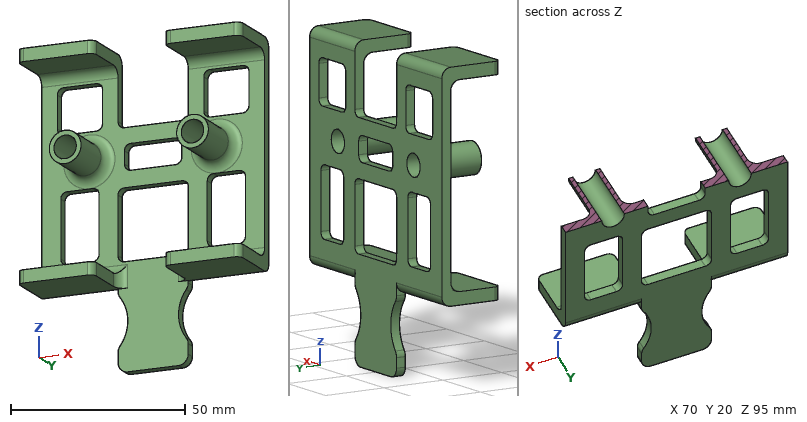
import cadquery as cq
import math

TOTAL_HEIGHT = 95.0
FRAME_SIZE = 70.0
DEPTH = 20.0
PLATE_THICKNESS = 3.0
FLANGE_THICKNESS = 4.0
BEND_RADIUS = 3.0
FLANGE_CORNER_RADIUS = 2.0
HALF_WIDTH = FRAME_SIZE / 2

CENTER_WIDTH = 22.0
NOTCH_DEPTH = 22.0
SLOT_WIDTH = 18.0
SLOT_HEIGHT = 8.0
SLOT_DOWN = 27.0
CENTER_WINDOW_HEIGHT = 22.0
CENTER_WINDOW_DOWN = 40.0
WINDOW_CORNER_RADIUS = 2.0

SIDE_WINDOW_X = 23.0
UPPER_WINDOW_SIZE = 14.2
LOWER_WINDOW_WIDTH = 12.0
LOWER_WINDOW_HEIGHT = 21.85
LOWER_WINDOW_DOWN = 39.0

POST_SPACING = 40.0
POST_DOWN = 31.0
POST_DIAMETER = 10.0
POST_HOLE_DIAMETER = 7.0
POST_ROOT_RADIUS = 3.0

TAB_LENGTH = TOTAL_HEIGHT - FRAME_SIZE
TAB_HALF_WIDTH = CENTER_WIDTH / 2
TAB_HALF_WAIST = 8.0
WAIST_DOWN = 9.8
WAIST_RADIUS = 12.0
TAB_CORNER_RADIUS = 3.0

CUT_MARGIN = 0.95


def box(x_min, x_max, y_min, y_max, z_min, z_max):
    """Axis-aligned block between the given limits."""
    size = (x_max - x_min, y_max - y_min, z_max - z_min)
    return cq.Workplane("XY").box(*size, centered=False).translate((x_min, y_min, z_min))


def window(center_x, down, width, height):
    """Cutter for a rounded window whose upper edge lies `down` below the frame top."""
    z_max = FRAME_SIZE - down
    cutter = box(
        center_x - width / 2, center_x + width / 2,
        -PLATE_THICKNESS - CUT_MARGIN, CUT_MARGIN,
        z_max - height, z_max,
    )
    return cutter.edges("|Y").fillet(WINDOW_CORNER_RADIUS)


def bracket():
    """Channel of full frame width: plate with a flange along its top and bottom."""
    outer = box(-HALF_WIDTH, HALF_WIDTH, -DEPTH, 0, 0, FRAME_SIZE)
    outer = outer.edges("|X and >Y").fillet(BEND_RADIUS)
    inner = box(
        -HALF_WIDTH, HALF_WIDTH,
        -DEPTH - BEND_RADIUS, -PLATE_THICKNESS,
        FLANGE_THICKNESS, FRAME_SIZE - FLANGE_THICKNESS,
    )
    inner = inner.edges("|X and >Y").fillet(BEND_RADIUS)
    return outer.cut(inner)


def flange_gap(flared):
    """Cutter that parts the flanges in the middle, optionally with rounded root corners."""
    gap = box(
        -CENTER_WIDTH / 2, CENTER_WIDTH / 2,
        -DEPTH - CUT_MARGIN, -PLATE_THICKNESS,
        0, FRAME_SIZE / 2,
    )
    if flared:
        return gap.edges("|Z and >Y").fillet(BEND_RADIUS)
    return gap.translate((0, 0, FRAME_SIZE / 2))


def tab():
    """Waisted finger tab, overlapping the frame up to the central window."""
    waist_center_x = TAB_HALF_WAIST + WAIST_RADIUS
    corner_center_x = TAB_HALF_WIDTH - TAB_CORNER_RADIUS
    radius_sum = WAIST_RADIUS + TAB_CORNER_RADIUS
    offset_x = waist_center_x - corner_center_x
    offset_z = math.sqrt(radius_sum**2 - offset_x**2)
    blend_x = corner_center_x + offset_x * TAB_CORNER_RADIUS / radius_sum
    blend_z = offset_z * WAIST_RADIUS / radius_sum
    top = FLANGE_THICKNESS + BEND_RADIUS

    half = (
        cq.Workplane("XZ")
        .moveTo(0, top)
        .lineTo(TAB_HALF_WIDTH, top)
        .lineTo(TAB_HALF_WIDTH, -WAIST_DOWN + offset_z)
        .radiusArc((blend_x, -WAIST_DOWN + blend_z), TAB_CORNER_RADIUS)
        .radiusArc((blend_x, -WAIST_DOWN - blend_z), -WAIST_RADIUS)
        .radiusArc((TAB_HALF_WIDTH, -WAIST_DOWN - offset_z), TAB_CORNER_RADIUS)
        .lineTo(TAB_HALF_WIDTH, -TAB_LENGTH + TAB_CORNER_RADIUS)
        .radiusArc((corner_center_x, -TAB_LENGTH), TAB_CORNER_RADIUS)
        .lineTo(0, -TAB_LENGTH)
        .close()
        .extrude(PLATE_THICKNESS)
    )
    return half.union(half.mirror("YZ"))


def post(center_x):
    """Post with a flared root, revolved about its own axis."""
    radius = POST_DIAMETER / 2
    root_y = -PLATE_THICKNESS
    return (
        cq.Workplane("XY")
        .moveTo(0, 0)
        .lineTo(radius + POST_ROOT_RADIUS, 0)
        .lineTo(radius + POST_ROOT_RADIUS, root_y)
        .radiusArc((radius, root_y - POST_ROOT_RADIUS), -POST_ROOT_RADIUS)
        .lineTo(radius, -DEPTH)
        .lineTo(0, -DEPTH)
        .close()
        .revolve(360, (0, 0, 0), (0, 1, 0))
        .translate((center_x, 0, FRAME_SIZE - POST_DOWN))
    )


def post_hole(center_x):
    """Cutter for the bore through a post and the plate behind it."""
    return (
        cq.Workplane("XZ", origin=(center_x, CUT_MARGIN, FRAME_SIZE - POST_DOWN))
        .circle(POST_HOLE_DIAMETER / 2)
        .extrude(DEPTH + 2 * CUT_MARGIN)
    )


body = bracket().cut(flange_gap(flared=True)).cut(flange_gap(flared=False))
body = body.faces("<Y").edges("|Z").fillet(FLANGE_CORNER_RADIUS)
body = body.union(tab())

notch_height = NOTCH_DEPTH + FLANGE_THICKNESS
body = body.cut(window(0, -FLANGE_THICKNESS, CENTER_WIDTH, notch_height))
body = body.cut(window(0, SLOT_DOWN, SLOT_WIDTH, SLOT_HEIGHT))
body = body.cut(window(0, CENTER_WINDOW_DOWN, CENTER_WIDTH, CENTER_WINDOW_HEIGHT))

upper_window_down = NOTCH_DEPTH - UPPER_WINDOW_SIZE
for side in (-1, 1):
    window_x = side * SIDE_WINDOW_X
    post_x = side * POST_SPACING / 2
    body = body.cut(window(window_x, upper_window_down, UPPER_WINDOW_SIZE, UPPER_WINDOW_SIZE))
    body = body.cut(window(window_x, LOWER_WINDOW_DOWN, LOWER_WINDOW_WIDTH, LOWER_WINDOW_HEIGHT))
    body = body.union(post(post_x)).cut(post_hole(post_x))

result = body